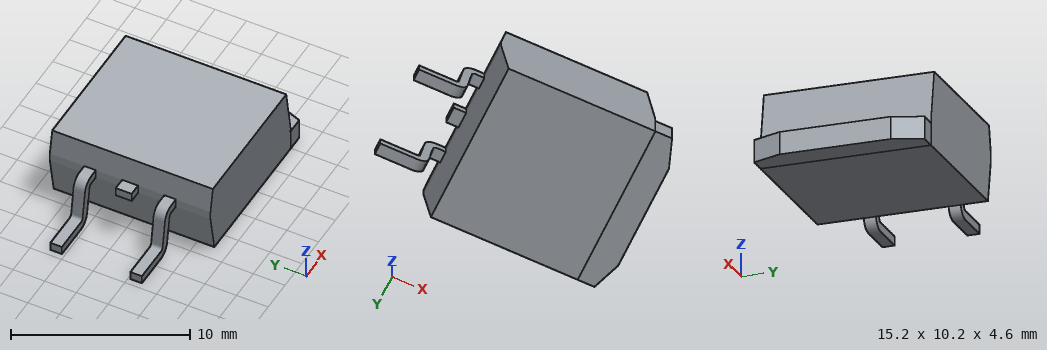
import cadquery as cq
import math

length = 15.24
width = 10.17
height = 4.6

housing_front_x = 4.04
housing_back_x = 13.56
front_top_inset = 0.29
front_bottom_inset = 0.45
back_top_inset = 0.5
back_slope_start_z = 1.6

sheet_thickness = 0.55
band_top_z = 3.08
band_bottom_z = band_top_z - sheet_thickness
lead_width = 0.73
lead_offset_y = 2.53
bend_inner_radius = 0.21
bend_outer_radius = bend_inner_radius + sheet_thickness
upper_bend_x = 3.49
lead_tilt = math.radians(9)
stub_width = 1.0
stub_tip_x = 3.28

tab_height = 1.34
tab_taper_start_x = 14.6
tab_end_width = 6.65


def extrude_across(profile, body_width, center_y=0):
    """Extrude a closed XZ profile along Y, centred on center_y."""
    return profile.extrude(body_width / 2, both=True).translate((0, center_y, 0))


def make_housing():
    profile = cq.Workplane("XZ").polyline([
        (housing_front_x + front_bottom_inset, 0),
        (housing_back_x, 0),
        (housing_back_x, back_slope_start_z),
        (housing_back_x - back_top_inset, height),
        (housing_front_x + front_top_inset, height),
        (housing_front_x, band_top_z),
        (housing_front_x, band_bottom_z),
    ]).close()
    return extrude_across(profile, width)


def point_on_bend(center, radius, angle):
    """Point on an arc, with the angle measured from +X toward +Z."""
    return (center[0] + radius * math.cos(angle), center[1] + radius * math.sin(angle))


def make_lead(center_y):
    upper_bend = (upper_bend_x, band_top_z - bend_outer_radius)
    lower_bend_z = bend_outer_radius
    bend_rise = upper_bend[1] - lower_bend_z
    radius_sum = bend_inner_radius + bend_outer_radius
    bend_run = bend_rise * math.tan(lead_tilt) + radius_sum / math.cos(lead_tilt)
    lower_bend = (upper_bend_x - bend_run, lower_bend_z)
    lower_start = -math.pi / 2
    lower_end = -lead_tilt
    lower_middle = (lower_start + lower_end) / 2
    upper_start = math.pi - lead_tilt
    upper_end = math.pi / 2
    upper_middle = (upper_start + upper_end) / 2
    profile = (
        cq.Workplane("XZ")
        .moveTo(0, 0)
        .lineTo(lower_bend[0], 0)
        .threePointArc(point_on_bend(lower_bend, bend_outer_radius, lower_middle),
                       point_on_bend(lower_bend, bend_outer_radius, lower_end))
        .lineTo(*point_on_bend(upper_bend, bend_inner_radius, upper_start))
        .threePointArc(point_on_bend(upper_bend, bend_inner_radius, upper_middle),
                       point_on_bend(upper_bend, bend_inner_radius, upper_end))
        .lineTo(housing_front_x, band_bottom_z)
        .lineTo(housing_front_x, band_top_z)
        .lineTo(upper_bend[0], band_top_z)
        .threePointArc(point_on_bend(upper_bend, bend_outer_radius, upper_middle),
                       point_on_bend(upper_bend, bend_outer_radius, upper_start))
        .lineTo(*point_on_bend(lower_bend, bend_inner_radius, lower_end))
        .threePointArc(point_on_bend(lower_bend, bend_inner_radius, lower_middle),
                       point_on_bend(lower_bend, bend_inner_radius, lower_start))
        .lineTo(0, sheet_thickness)
        .close()
    )
    return extrude_across(profile, lead_width, center_y)


def make_stub():
    profile = cq.Workplane("XZ").polyline([
        (stub_tip_x, band_bottom_z),
        (housing_front_x, band_bottom_z),
        (housing_front_x, band_top_z),
        (stub_tip_x, band_top_z),
    ]).close()
    return extrude_across(profile, stub_width)


def make_tab():
    outline = cq.Workplane("XY").polyline([
        (housing_back_x, -width / 2),
        (tab_taper_start_x, -width / 2),
        (length, -tab_end_width / 2),
        (length, tab_end_width / 2),
        (tab_taper_start_x, width / 2),
        (housing_back_x, width / 2),
    ]).close()
    return outline.extrude(tab_height)


housing = make_housing()
leads = []
for side in (-1, 1):
    leads.append(make_lead(side * lead_offset_y).val())
stub = make_stub()
tab = make_tab()

result = cq.Compound.makeCompound([housing.val(), *leads, stub.val(), tab.val()])